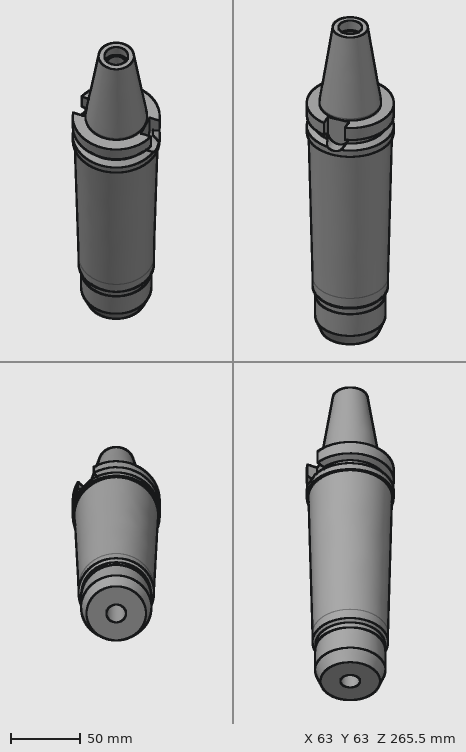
import cadquery as cq

total_length = 265.5
flange_radius = 31.5

gauge_z = 200.0
gauge_radius = 22.3
taper_ratio = 7 / 24
tip_radius = gauge_radius - (total_length - gauge_z) * taper_ratio / 2

flange_top_z = 198.5
groove_upper_z = 188.0
groove_floor_top_z = 185.5
groove_floor_bottom_z = 181.3
groove_lower_z = 178.5
rim_bottom_z = 173.0
groove_radius = 26.5

body_top_radius = 30.3
body_bottom_radius = 27.3
collar_top_z = 44.9
collar_bottom_z = 36.5

nose_top_z = 34.2
nose_neck_radius = 25.2
nose_step_z = 29.5
nose_radius = 25.5
nose_cone_z = 10.4
nose_end_radius = 21.5

slot_width = 16.5
slot_floor_x = 22.5
slot_bottom_z = 176.8

bore_diameter = 14.0
counterbore_diameter = 17.0
counterbore_depth = 8.5


def turned_body():
    """Revolve the half profile, given as (radius, height), about Z."""
    profile = [
        (0, 0),
        (nose_end_radius, 0),
        (nose_radius, nose_cone_z),
        (nose_radius, nose_step_z),
        (nose_neck_radius, nose_step_z),
        (nose_neck_radius, nose_top_z),
        (body_bottom_radius, collar_bottom_z),
        (body_bottom_radius, collar_top_z),
        (body_top_radius, rim_bottom_z),
        (flange_radius, rim_bottom_z),
        (flange_radius, groove_lower_z),
        (groove_radius, groove_floor_bottom_z),
        (groove_radius, groove_floor_top_z),
        (flange_radius, groove_upper_z),
        (flange_radius, flange_top_z),
        (gauge_radius, flange_top_z),
        (gauge_radius, gauge_z),
        (tip_radius, total_length),
        (0, total_length),
    ]
    return cq.Workplane("XZ").polyline(profile).close().revolve(360, (0, 0), (0, 1))


def drive_slot(side):
    """Round-ended slot cutter, open at the flange top; side is +1 or -1 along X."""
    half_width = slot_width / 2
    arc_z = slot_bottom_z + half_width
    return (
        cq.Workplane("YZ", origin=(side * slot_floor_x, 0, 0))
        .moveTo(-half_width, flange_top_z)
        .lineTo(-half_width, arc_z)
        .threePointArc((0, slot_bottom_z), (half_width, arc_z))
        .lineTo(half_width, flange_top_z)
        .close()
        .extrude(side * flange_radius)
    )


result = turned_body()
for side in (-1, 1):
    result = result.cut(drive_slot(side))

result = (
    result.faces(">Z")
    .workplane(origin=(0, 0, total_length))
    .cboreHole(bore_diameter, counterbore_diameter, counterbore_depth)
)